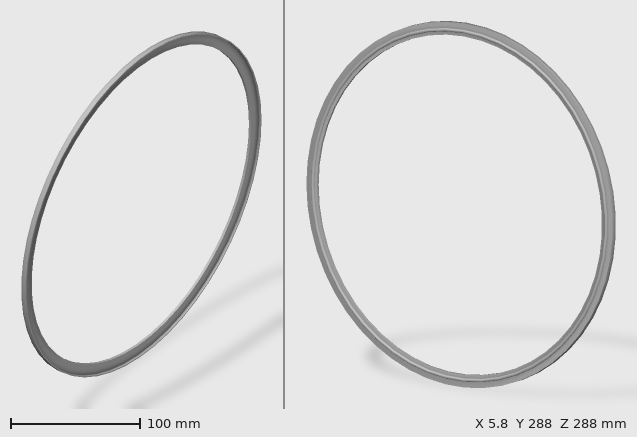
import cadquery as cq

outer_radius = 144.0
inner_radius = 134.0
overall_width = 5.8
lip_thickness = 1.0

bead_radius = 1.38
bead_center_radius = 138.0

ring_width = overall_width - bead_radius
back_x = overall_width / 2
face_x = back_x - ring_width
web_thickness = ring_width / 2
recess_x = face_x + web_thickness
lip_inner_radius = outer_radius - lip_thickness

profile = (
    cq.Workplane("XY")
    .moveTo(recess_x, inner_radius)
    .lineTo(recess_x, lip_inner_radius)
    .lineTo(back_x, lip_inner_radius)
    .lineTo(back_x, outer_radius)
    .lineTo(face_x, outer_radius)
    .lineTo(face_x, bead_center_radius + bead_radius)
    .threePointArc(
        (face_x - bead_radius, bead_center_radius),
        (face_x, bead_center_radius - bead_radius),
    )
    .lineTo(face_x, inner_radius)
    .close()
)

result = profile.revolve(360, (0, 0, 0), (1, 0, 0))